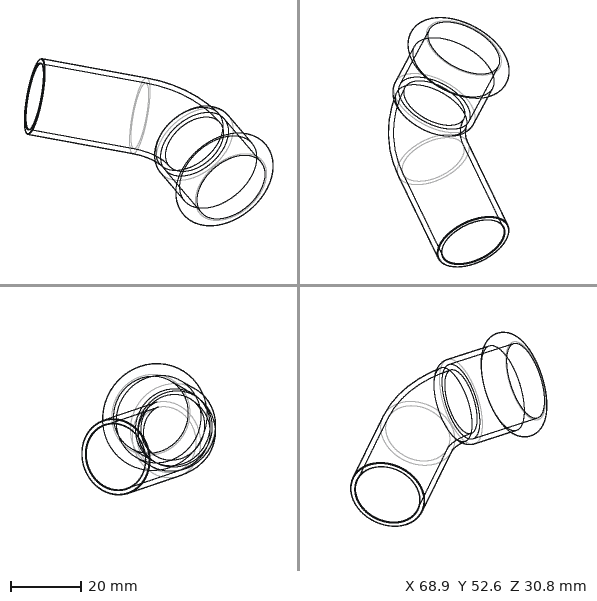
import cadquery as cq
import math

TUBE_DIAMETER = 22.0
TUBE_BORE = 19.0
BEND_RADIUS = 25.8
BEND_ANGLE = 45.0
SPIGOT_LENGTH = 31.15
SPIGOT_EDGE_BREAK = 0.2

SOCKET_DIAMETER = 25.3
SOCKET_BORE = 22.3
SOCKET_LENGTH = 21.0
SHOULDER_RADIUS = 3.0

BEAD_DIAMETER = 30.8
BEAD_WIDTH = 7.5

bead_radius = BEAD_WIDTH / 2
bead_ring_radius = BEAD_DIAMETER / 2 - bead_radius


def swept_rod(diameter):
    """Solid rod that follows the bend and the straight spigot."""
    angle = math.radians(BEND_ANGLE)

    def bend_point(turn):
        return (
            -SOCKET_LENGTH - BEND_RADIUS * math.sin(turn),
            -BEND_RADIUS * (1 - math.cos(turn)),
        )

    bend_end_x, bend_end_y = bend_point(angle)
    spigot_end = (
        bend_end_x - SPIGOT_LENGTH * math.cos(angle),
        bend_end_y - SPIGOT_LENGTH * math.sin(angle),
    )
    path = (
        cq.Workplane("XY")
        .moveTo(-SOCKET_LENGTH, 0)
        .threePointArc(bend_point(angle / 2), (bend_end_x, bend_end_y))
        .lineTo(*spigot_end)
    )
    section = cq.Workplane("YZ", origin=(-SOCKET_LENGTH, 0, 0)).circle(diameter / 2)
    return section.sweep(path)


def socket_outside():
    """Cylinder with a rounded shoulder and a round bead at the mouth."""
    socket_radius = SOCKET_DIAMETER / 2
    half_quarter_turn = math.radians(45)
    shoulder_middle = (
        -SOCKET_LENGTH - SHOULDER_RADIUS * math.sin(half_quarter_turn),
        socket_radius - SHOULDER_RADIUS * (1 - math.cos(half_quarter_turn)),
    )
    body = (
        cq.Workplane("XY")
        .lineTo(-SOCKET_LENGTH - SHOULDER_RADIUS, 0)
        .lineTo(-SOCKET_LENGTH - SHOULDER_RADIUS, socket_radius - SHOULDER_RADIUS)
        .threePointArc(shoulder_middle, (-SOCKET_LENGTH, socket_radius))
        .lineTo(-bead_radius, socket_radius)
        .lineTo(-bead_radius, bead_ring_radius)
        .lineTo(0, bead_ring_radius)
        .close()
        .revolve(360, (0, 0, 0), (1, 0, 0))
    )
    bead = (
        cq.Workplane("XY")
        .lineTo(-BEAD_WIDTH, 0)
        .lineTo(-BEAD_WIDTH, bead_ring_radius)
        .threePointArc((-bead_radius, BEAD_DIAMETER / 2), (0, bead_ring_radius))
        .close()
        .revolve(360, (0, 0, 0), (1, 0, 0))
    )
    return body.union(bead)


def socket_bore():
    """Plain bore that stops where the bend starts."""
    return cq.Workplane("YZ").circle(SOCKET_BORE / 2).extrude(-SOCKET_LENGTH)


def break_spigot_rims(part):
    """Small chamfers on the outer and inner rims of the free end."""
    toward_spigot_end = cq.Vector(
        -math.cos(math.radians(BEND_ANGLE)),
        -math.sin(math.radians(BEND_ANGLE)),
        0,
    )
    end_face = cq.selectors.DirectionMinMaxSelector(toward_spigot_end)
    return part.faces(end_face).edges().chamfer(SPIGOT_EDGE_BREAK)


result = socket_outside().union(swept_rod(TUBE_DIAMETER))
result = result.cut(swept_rod(TUBE_BORE)).cut(socket_bore())
result = break_spigot_rims(result)